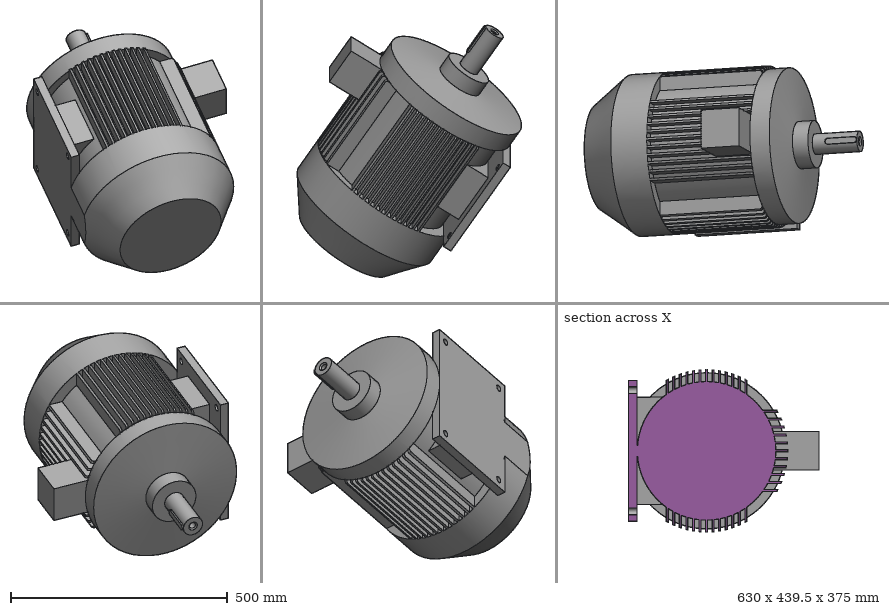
import cadquery as cq
import math


boss_start_x = 108.5
cone_start_x = 146.0
rim_start_x = 160.0
body_start_x = 207.0
body_end_x = 456.0
cowl_cone_x = 544.0
motor_end_x = 630.0
body_middle_x = (body_start_x + body_end_x) / 2

shaft_radius = 24.0
boss_radius = 55.0
flange_radius = 180.0
body_diameter = 375.0
body_radius = body_diameter / 2
core_radius = 160.0
cowl_end_radius = 124.0

key_length = 77.0
key_width = 14.0
key_top_y = 27.0

centre_hole_radius = 7.5
centre_hole_depth = 38.0
countersink_radius = 11.0

fin_thickness = 5.0
fin_end_rounding = 5.0
top_fin_pitch = 15.0
top_fin_count = 13
side_fin_pitch = 18.0
side_fin_count = 11

plate_face_y = -flange_radius
plate_thickness = 20.0
plate_height = 325.0
plate_back_y = plate_face_y + plate_thickness
hole_diameter = 15.0
hole_spacing_x = 203.0
hole_spacing_z = 280.0
pedestal_length = 124.0
pedestal_height = 248.0

box_length = 92.0
box_height = 89.5
box_top_y = 259.5


def block(x_range, y_range, z_range):
    """Axis-aligned box given by its limits along X, Y and Z."""
    limits = (x_range, y_range, z_range)
    size = [high - low for low, high in limits]
    corner = cq.Vector(*[low for low, _ in limits])
    return cq.Workplane("XY").box(*size, centered=False).translate(corner)


def revolved(profile):
    """Solid turned about the X axis from (x, radius) points."""
    return cq.Workplane("XY").polyline(profile).close().revolve(360, (0, 0, 0), (1, 0, 0))


def motor_core():
    """Shaft, boss, front flange, bare body and fan cowl."""
    return revolved([
        (0, 0),
        (0, shaft_radius),
        (boss_start_x, shaft_radius),
        (boss_start_x, boss_radius),
        (cone_start_x, boss_radius),
        (rim_start_x, flange_radius),
        (body_start_x, flange_radius),
        (body_start_x, core_radius),
        (body_end_x, core_radius),
        (body_end_x, body_radius),
        (cowl_cone_x, body_radius),
        (motor_end_x, cowl_end_radius),
        (motor_end_x, 0),
    ])


def fin_envelope():
    """Cylinder bounding the fins, with its edge rounded at the flange end."""
    shoulder_radius = body_radius - fin_end_rounding
    arc_inset = fin_end_rounding * (1 - math.sqrt(0.5))
    return (
        cq.Workplane("XY")
        .moveTo(body_start_x, 0)
        .lineTo(body_start_x, shoulder_radius)
        .threePointArc(
            (body_start_x + arc_inset, body_radius - arc_inset),
            (body_start_x + fin_end_rounding, body_radius),
        )
        .lineTo(body_end_x, body_radius)
        .lineTo(body_end_x, 0)
        .close()
        .revolve(360, (0, 0, 0), (1, 0, 0))
    )


def fin_offsets(count, pitch):
    """Middle positions of evenly spaced fins, centred on zero."""
    return [(i - (count - 1) / 2) * pitch for i in range(count)]


def fins():
    """Upright fins above and below the axis, and flat fins on the +Y side."""
    half = fin_thickness / 2
    body_x = (body_start_x, body_end_x)
    plates = cq.Workplane("XY")
    for y in fin_offsets(top_fin_count, top_fin_pitch):
        plates.add(block(body_x, (y - half, y + half), (-body_radius, body_radius)))
    for z in fin_offsets(side_fin_count, side_fin_pitch):
        plates.add(block(body_x, (0, body_radius), (z - half, z + half)))
    return plates.combine().intersect(fin_envelope())


def mount():
    """Mounting plate with four through holes, joined to the body by a pedestal."""
    plate = block(
        (body_start_x, body_end_x),
        (plate_face_y, plate_back_y),
        (-plate_height / 2, plate_height / 2),
    )
    holes = (
        cq.Workplane("XZ", origin=(body_middle_x, plate_back_y, 0))
        .rect(hole_spacing_x, hole_spacing_z, forConstruction=True)
        .vertices()
        .circle(hole_diameter / 2)
        .extrude(plate_thickness)
    )
    pedestal = block(
        (body_middle_x - pedestal_length / 2, body_middle_x + pedestal_length / 2),
        (plate_back_y, 0),
        (-pedestal_height / 2, pedestal_height / 2),
    )
    return plate.cut(holes).union(pedestal)


def terminal_box():
    """Terminal box on the +Y side, flush with the flange end of the body."""
    return block(
        (body_start_x, body_start_x + box_length),
        (0, box_top_y),
        (-box_height / 2, box_height / 2),
    )


def shaft_key():
    """Round-ended key standing on the +Y side of the shaft, flush with its tip."""
    return (
        cq.Workplane("XZ", origin=(key_length / 2, 0, 0))
        .slot2D(key_length, key_width)
        .extrude(-key_top_y)
    )


def centre_hole():
    """Countersunk blind hole in the shaft tip, with a 45 degree conical bottom."""
    return revolved([
        (0, 0),
        (0, countersink_radius),
        (countersink_radius - centre_hole_radius, centre_hole_radius),
        (centre_hole_depth, centre_hole_radius),
        (centre_hole_depth + centre_hole_radius, 0),
    ])


def in_front_of_plate():
    """Space beyond the plane of the plate face, where the cowl is cut flat."""
    return block(
        (body_end_x, motor_end_x),
        (-body_radius, plate_face_y),
        (-body_radius, body_radius),
    )


result = motor_core().cut(in_front_of_plate())
for feature in (fins(), mount(), terminal_box(), shaft_key()):
    result = result.union(feature)
result = result.cut(centre_hole())